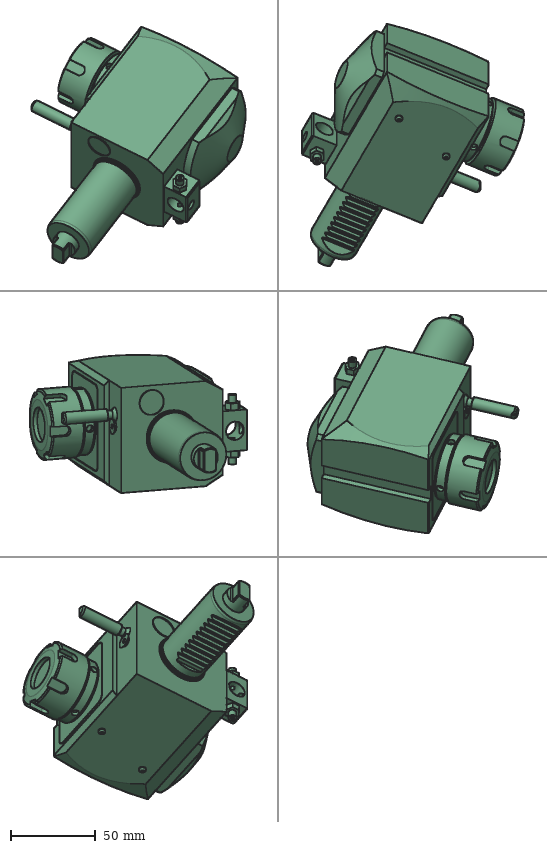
import cadquery as cq
import math

BODY_HALF = 32.0
BODY_LENGTH = 84.0
RIGHT_BEVEL_X = 10.9
RIGHT_BEVEL_Z = 6.2
PAD_HEIGHT = 3.2
PAD_BEVEL = 3.0
PAD_START_Y = 21.0
PAD_EDGE_CHAMFER = 0.6
PAD_FACE_X = -BODY_HALF - PAD_HEIGHT
KEYWAY_WIDTH = 10.0
KEYWAY_DEPTH = 3.8

CROWN_X = -10.0
CROWN_REAR_Z = 31.1
CROWN_RADIUS = 166.1
CROWN_ANGLE = 15.0

COVER_WIDTH = 45.3
COVER_HEIGHT = 52.8
COVER_CORNER = 4.5
SEAM_WIDTH = 0.3
SEAM_DEPTH = 0.2
PLUG_X = -12.7
PLUG_Z = 21.6
PLUG_RADIUS = 7.5
PLUG_DEPTH = 0.6

SHANK_RADIUS = 15.0
SHANK_LENGTH = 55.1
SHANK_CHAMFER_LENGTH = 1.8
SHANK_CHAMFER_DEPTH = 0.5
FLANGE_RADIUS = 16.0
FLANGE_LENGTH = 1.4
FLANGE_CHAMFER = 0.5
RELIEF_RADIUS = 14.8
RELIEF_LENGTH = 0.8
JOURNAL_RADIUS = 7.5
JOURNAL_END = 59.6
TANG_THICKNESS = 8.2
TANG_END = 67.0
TANG_CHAMFER = 0.6
TANG_FOOT = 0.8

TOOTH_COUNT = 9
TOOTH_RUN = 36.1
TOOTH_PITCH = TOOTH_RUN / TOOTH_COUNT
TOOTH_ROOT_Z = -10.7
TOOTH_TIP_Z = -12.2
TOOTH_FLANK = 1.2
FIRST_ROOT_Y = -11.6
TOOTH_RELIEF_Y = -7.4
ROOT_HALF = 0.5
RUNOUT_LENGTH = 3.6

SPINDLE_Y = 55.0
NUT_FACE_X = -63.9
NUT_FACE_RADIUS = 15.1
NUT_RIM_X = -62.8
NUT_RIM_RADIUS = 20.0
NUT_SIDE_X = -62.0
NUT_REAR_X = -43.5
NUT_RADIUS = 21.1
NUT_BORE_RADIUS = 10.3
NUT_BORE_DEPTH = 2.5
NECK_RADIUS = 16.9
COLLAR_FRONT_X = -42.5
COLLAR_REAR_X = -36.2
COLLAR_RADIUS = 20.1
COLLAR_CHAMFER = 0.5
COLLAR_SEAT_RADIUS = 19.3
SLOT_WIDTH = 6.2
SHORT_SLOT_END_X = -51.6
LONG_SLOT_END_X = -50.3
SHORT_SLOT_ANGLES = (90, 150, 210, 270)
LONG_SLOT_ANGLES = (30, 330)
SLOT_FLOOR_RADIUS = 18.0
PIN_HOLE_COUNT = 4
PIN_HOLE_X = -39.1
PIN_HOLE_RADIUS = 2.1
PIN_HOLE_DEPTH = 3.0

NOZZLE_Y = 10.9
NOZZLE_Z = 13.6
NOZZLE_TIP_X = -65.0
NOZZLE_TIP_RADIUS = 2.7
NOZZLE_SHOULDER_X = -63.9
NOZZLE_RADIUS = 3.6
NOZZLE_REAR_X = -37.5
NOZZLE_NECK_RADIUS = 2.5
NOZZLE_FLARE_X = -34.1
NOZZLE_FLARE_RADIUS = 4.1
NOZZLE_CUT_X = -62.5
JET_OFFSET_Y = 2.0
JET_RADIUS = 0.6
JET_DEPTH = 3.0
SCREW_Z = 6.3
SCREW_RADIUS = 4.7
SCREW_HEIGHT = 1.8
SCREW_SOCKET_SIZE = 2.9
SCREW_SOCKET_DEPTH = 0.9

CAP_END_X = 48.0
CAP_RIM_X = 36.8
CAP_RADIUS = 32.2
CAP_NOSE_RADIUS = 8.6
CAP_FLAT_Z = 23.1
CAP_FLAT_Y = 24.9
CAP_BEVEL_X = 38.4
CAP_BEVEL_ANGLE = 28.0

BLOCK_Y_MIN = 1.0
BLOCK_Y_MAX = 16.0
BLOCK_HALF_Z = 12.4
BLOCK_CHAMFER = 0.8
PORT_X = 40.0
PORT_RADIUS = 5.6
CROSS_Y = 5.9
CROSS_RADIUS = 3.0
NIPPLE_HEX = 9.0
NIPPLE_HEX_TOP = 16.5
NIPPLE_RADIUS = 2.4
NIPPLE_TOP = 21.0
NIPPLE_SOCKET = 2.4
NIPPLE_SOCKET_DEPTH = 1.2
NIPPLE_BORE_RADIUS = 1.4

STUD_PLACES = [(-23.9, 49.2), (13.0, 61.2)]
STUD_RADIUS = 2.1
STUD_SHOULDER = 0.6
STUD_TIP_RADIUS = 0.8
STUD_HEIGHT = 1.5

OVERLAP = 1.5
CUT_REACH = 90.6


def turned_x(profile, y, z):
    """Solid of revolution about the X-parallel line at (y, z); profile is (x, radius)."""
    points = [(profile[0][0], 0), *profile, (profile[-1][0], 0)]
    solid = cq.Workplane("XY").polyline(points).close().revolve(360, (0, 0), (1, 0))
    return solid.translate((0, y, z))


def turned_y(profile):
    """Solid of revolution about the Y axis; profile is (y, radius)."""
    points = [(0, profile[0][0]), *[(r, y) for y, r in profile], (0, profile[-1][0])]
    return cq.Workplane("XY").polyline(points).close().revolve(360, (0, 0), (0, 1))


def mirrored_z(half):
    return half.union(half.mirror("XY"))


def box(x_min, x_max, y_min, y_max, z_min, z_max):
    solid = cq.Workplane("XY").box(x_max - x_min, y_max - y_min, z_max - z_min, centered=False)
    return solid.translate((x_min, y_min, z_min))


def rear_crown():
    """Cone about a Y-parallel axis that trims the top of the housing."""
    front_radius = CROWN_RADIUS + BODY_LENGTH * math.tan(math.radians(CROWN_ANGLE))
    axis_point = cq.Vector(CROWN_X, 0, CROWN_REAR_Z - CROWN_RADIUS)
    cone = cq.Solid.makeCone(front_radius, CROWN_RADIUS, BODY_LENGTH, axis_point, cq.Vector(0, 1, 0))
    return cq.Workplane(obj=cone)


def housing():
    bevel_start_x = BODY_HALF - RIGHT_BEVEL_X
    bevel_end_z = BODY_HALF - RIGHT_BEVEL_Z
    body_outline = [
        (-BODY_HALF, -BODY_HALF),
        (bevel_start_x, -BODY_HALF),
        (BODY_HALF, -bevel_end_z),
        (BODY_HALF, bevel_end_z),
        (bevel_start_x, BODY_HALF),
        (-BODY_HALF, BODY_HALF),
    ]
    body = cq.Workplane("XZ").polyline(body_outline).close().extrude(-BODY_LENGTH)

    pad_half = BODY_HALF - PAD_BEVEL
    pad_outline = [
        (-BODY_HALF, -BODY_HALF),
        (-BODY_HALF, BODY_HALF),
        (PAD_FACE_X, pad_half),
        (PAD_FACE_X, -pad_half),
    ]
    pad = cq.Workplane("XZ", origin=(0, PAD_START_Y, 0)).polyline(pad_outline).close()
    pad = pad.extrude(PAD_START_Y - BODY_LENGTH)
    pad = pad.faces("<X").edges(">Y").chamfer(PAD_EDGE_CHAMFER)

    block = body.union(pad)
    crown = rear_crown()
    block = block.intersect(crown).intersect(crown.mirror("XY"))
    keyway = box(
        -CUT_REACH, CUT_REACH,
        BODY_LENGTH - KEYWAY_DEPTH, BODY_LENGTH + OVERLAP,
        -KEYWAY_WIDTH / 2, KEYWAY_WIDTH / 2,
    )
    return block.cut(keyway)


def cover_outline(inset):
    outline = cq.Workplane("YZ", origin=(PAD_FACE_X, SPINDLE_Y, 0))
    outline = outline.rect(COVER_WIDTH - 2 * inset, COVER_HEIGHT - 2 * inset).extrude(SEAM_DEPTH)
    return outline.edges("|X").fillet(COVER_CORNER - inset)


def cover_seam():
    return cover_outline(0).cut(cover_outline(SEAM_WIDTH))


def plug_recess():
    return cq.Workplane("XZ").center(PLUG_X, PLUG_Z).circle(PLUG_RADIUS).extrude(-PLUG_DEPTH)


def shank_teeth():
    """Material removed from the underside of the shank, as a prism along X."""
    points = [(TOOTH_RELIEF_Y, -CUT_REACH), (TOOTH_RELIEF_Y, TOOTH_TIP_Z)]
    for index in range(TOOTH_COUNT + 1):
        root_y = FIRST_ROOT_Y - index * TOOTH_PITCH
        points.append((root_y + ROOT_HALF + TOOTH_FLANK, TOOTH_TIP_Z))
        points.append((root_y + ROOT_HALF, TOOTH_ROOT_Z))
        points.append((root_y - ROOT_HALF, TOOTH_ROOT_Z))
        if index < TOOTH_COUNT:
            points.append((root_y - ROOT_HALF - TOOTH_FLANK, TOOTH_TIP_Z))
    runout_y = points[-1][0] - RUNOUT_LENGTH
    points.append((runout_y, -SHANK_RADIUS))
    points.append((runout_y, -CUT_REACH))
    return cq.Workplane("YZ").polyline(points).close().extrude(SHANK_RADIUS * 2, both=True)


def drive_tang():
    """Two-flat tang on the shank end, with sloping feet where the flats meet the journal."""
    round_bar = cq.Workplane("XZ").circle(JOURNAL_RADIUS).extrude(TANG_END)
    half_thickness = TANG_THICKNESS / 2
    slab = box(
        -half_thickness, half_thickness,
        -TANG_END, -JOURNAL_END,
        -JOURNAL_RADIUS, JOURNAL_RADIUS,
    )
    tang = round_bar.intersect(slab)
    tang = tang.faces("<X or >X or <Y").edges("not >Y").chamfer(TANG_CHAMFER)

    foot_end = -JOURNAL_END - TANG_FOOT
    foot = cq.Workplane("XY").polyline([
        (-half_thickness - TANG_FOOT, -JOURNAL_END),
        (-half_thickness, foot_end),
        (half_thickness, foot_end),
        (half_thickness + TANG_FOOT, -JOURNAL_END),
    ]).close().extrude(JOURNAL_RADIUS, both=True)
    return tang.union(foot.intersect(round_bar))


def shank():
    relief_end = FLANGE_LENGTH + RELIEF_LENGTH
    stem = turned_y([
        (OVERLAP, FLANGE_RADIUS),
        (FLANGE_CHAMFER - FLANGE_LENGTH, FLANGE_RADIUS),
        (-FLANGE_LENGTH, FLANGE_RADIUS - FLANGE_CHAMFER),
        (-FLANGE_LENGTH, RELIEF_RADIUS),
        (-relief_end, RELIEF_RADIUS),
        (-relief_end, SHANK_RADIUS),
        (SHANK_CHAMFER_LENGTH - SHANK_LENGTH, SHANK_RADIUS),
        (-SHANK_LENGTH, SHANK_RADIUS - SHANK_CHAMFER_DEPTH),
        (-SHANK_LENGTH, JOURNAL_RADIUS),
        (-JOURNAL_END, JOURNAL_RADIUS),
    ])
    return stem.cut(shank_teeth()).union(drive_tang())


def nut_slot(end_x):
    """One open-ended wrench slot with a round end at end_x, on the top of the nut."""
    half_width = SLOT_WIDTH / 2
    open_end_x = NUT_FACE_X - OVERLAP
    slot = cq.Workplane("XY", origin=(0, SPINDLE_Y, SLOT_FLOOR_RADIUS)).moveTo(open_end_x, -half_width)
    slot = slot.lineTo(end_x - half_width, -half_width)
    slot = slot.threePointArc((end_x, 0), (end_x - half_width, half_width))
    return slot.lineTo(open_end_x, half_width).close().extrude(NUT_RADIUS)


def pin_hole():
    """One radial pin hole, on the top of the collar."""
    hole = cq.Workplane("XY", origin=(PIN_HOLE_X, SPINDLE_Y, COLLAR_RADIUS - PIN_HOLE_DEPTH))
    return hole.circle(PIN_HOLE_RADIUS).extrude(PIN_HOLE_DEPTH + OVERLAP)


def turn_about_spindle(solid, angle):
    return solid.rotate((0, SPINDLE_Y, 0), (1, SPINDLE_Y, 0), angle)


def spindle():
    bore_floor_x = NUT_FACE_X + NUT_BORE_DEPTH
    nose = turned_x([
        (NUT_FACE_X, NUT_FACE_RADIUS),
        (NUT_RIM_X, NUT_RIM_RADIUS),
        (NUT_SIDE_X, NUT_RADIUS),
        (NUT_REAR_X, NUT_RADIUS),
        (NUT_REAR_X, NECK_RADIUS),
        (COLLAR_FRONT_X, NECK_RADIUS),
        (COLLAR_FRONT_X, COLLAR_RADIUS - COLLAR_CHAMFER),
        (COLLAR_FRONT_X + COLLAR_CHAMFER, COLLAR_RADIUS),
        (COLLAR_REAR_X, COLLAR_RADIUS),
        (COLLAR_REAR_X, COLLAR_SEAT_RADIUS),
        (PAD_FACE_X + OVERLAP, COLLAR_SEAT_RADIUS),
    ], SPINDLE_Y, 0)
    bore = turned_x([(NUT_FACE_X, NUT_BORE_RADIUS), (bore_floor_x, NUT_BORE_RADIUS)], SPINDLE_Y, 0)
    nose = nose.cut(bore)
    for angle in SHORT_SLOT_ANGLES:
        nose = nose.cut(turn_about_spindle(nut_slot(SHORT_SLOT_END_X), angle))
    for angle in LONG_SLOT_ANGLES:
        nose = nose.cut(turn_about_spindle(nut_slot(LONG_SLOT_END_X), angle))
    for index in range(PIN_HOLE_COUNT):
        nose = nose.cut(turn_about_spindle(pin_hole(), index * 360 / PIN_HOLE_COUNT))
    return nose


def nozzle():
    rod = turned_x([
        (NOZZLE_TIP_X, NOZZLE_TIP_RADIUS),
        (NOZZLE_SHOULDER_X, NOZZLE_RADIUS),
        (NOZZLE_REAR_X, NOZZLE_RADIUS),
        (NOZZLE_REAR_X, NOZZLE_NECK_RADIUS),
        (NOZZLE_FLARE_X, NOZZLE_NECK_RADIUS),
        (-BODY_HALF, NOZZLE_FLARE_RADIUS),
        (-BODY_HALF + OVERLAP, NOZZLE_FLARE_RADIUS),
    ], NOZZLE_Y, NOZZLE_Z)
    side_y = NOZZLE_Y + NOZZLE_RADIUS
    cut_size = 2 * NOZZLE_RADIUS
    wedge = cq.Workplane("XY").polyline([
        (NOZZLE_CUT_X, side_y),
        (NOZZLE_CUT_X - cut_size, side_y),
        (NOZZLE_CUT_X - cut_size, side_y - cut_size),
    ]).close().extrude(CUT_REACH)
    jet = cq.Workplane("YZ", origin=(NOZZLE_TIP_X, NOZZLE_Y + JET_OFFSET_Y, NOZZLE_Z))
    return rod.cut(wedge).cut(jet.circle(JET_RADIUS).extrude(JET_DEPTH))


def countersunk_screw():
    head_x = -BODY_HALF - SCREW_HEIGHT
    head = turned_x([
        (head_x, SCREW_RADIUS),
        (-BODY_HALF, SCREW_RADIUS - SCREW_HEIGHT),
        (-BODY_HALF + OVERLAP, SCREW_RADIUS - SCREW_HEIGHT),
    ], NOZZLE_Y, SCREW_Z)
    socket = cq.Workplane("YZ", origin=(head_x, NOZZLE_Y, SCREW_Z))
    return head.cut(socket.polygon(6, SCREW_SOCKET_SIZE).extrude(SCREW_SOCKET_DEPTH))


def end_cap():
    cap = turned_x([
        (BODY_HALF - OVERLAP, CAP_RADIUS),
        (CAP_RIM_X, CAP_RADIUS),
        (CAP_END_X, CAP_NOSE_RADIUS),
    ], SPINDLE_Y, 0)
    bevel_drop = (CAP_END_X - CAP_BEVEL_X) * math.tan(math.radians(CAP_BEVEL_ANGLE))
    end_z = CAP_FLAT_Z - bevel_drop
    inner_x = BODY_HALF - OVERLAP
    side_outline = [
        (inner_x, -CAP_FLAT_Z),
        (CAP_BEVEL_X, -CAP_FLAT_Z),
        (CAP_END_X, -end_z),
        (CAP_END_X, end_z),
        (CAP_BEVEL_X, CAP_FLAT_Z),
        (inner_x, CAP_FLAT_Z),
    ]
    envelope = cq.Workplane("XZ", origin=(0, SPINDLE_Y + CAP_FLAT_Y, 0)).polyline(side_outline).close()
    return cap.intersect(envelope.extrude(CUT_REACH))


def nipple():
    """Hexagon fitting with a round stem on top of the coolant block."""
    axis_plane = cq.Workplane("XY", origin=(PORT_X, CROSS_Y, BLOCK_HALF_Z - OVERLAP))
    hexagon = axis_plane.polygon(6, NIPPLE_HEX).extrude(NIPPLE_HEX_TOP - BLOCK_HALF_Z + OVERLAP)
    stem = axis_plane.circle(NIPPLE_RADIUS).extrude(NIPPLE_TOP - BLOCK_HALF_Z + OVERLAP)
    socket = cq.Workplane("XY", origin=(PORT_X, CROSS_Y, NIPPLE_TOP - NIPPLE_SOCKET_DEPTH))
    return hexagon.union(stem).cut(socket.polygon(6, NIPPLE_SOCKET).extrude(NIPPLE_SOCKET_DEPTH))


def coolant_block():
    block = box(
        BODY_HALF, CAP_END_X,
        BLOCK_Y_MIN, BLOCK_Y_MAX,
        -BLOCK_HALF_Z, BLOCK_HALF_Z,
    )
    block = block.faces(">X").edges().chamfer(BLOCK_CHAMFER)
    block = block.union(box(
        BODY_HALF - OVERLAP, BODY_HALF,
        BLOCK_Y_MIN, BLOCK_Y_MAX,
        -BLOCK_HALF_Z, BLOCK_HALF_Z,
    ))
    block = block.union(mirrored_z(nipple()))
    port = cq.Workplane("XZ").center(PORT_X, 0).circle(PORT_RADIUS).extrude(-BLOCK_Y_MAX)
    outlet = cq.Workplane("YZ", origin=(PORT_X, CROSS_Y, 0)).circle(CROSS_RADIUS).extrude(CAP_END_X - PORT_X)
    nipple_bore = cq.Workplane("XY", origin=(PORT_X, CROSS_Y, 0)).circle(NIPPLE_BORE_RADIUS)
    return block.cut(port).cut(outlet).cut(nipple_bore.extrude(BLOCK_HALF_Z, both=True))


def stud(x, y):
    """Tapered screw stud hanging under the housing."""
    outline = [
        (0, OVERLAP),
        (STUD_RADIUS, OVERLAP),
        (STUD_RADIUS, -STUD_SHOULDER),
        (STUD_TIP_RADIUS, -STUD_HEIGHT),
        (0, -STUD_HEIGHT),
    ]
    solid = cq.Workplane("XZ").polyline(outline).close().revolve(360, (0, 0), (0, 1))
    return solid.translate((x, y, -BODY_HALF))


result = housing().cut(cover_seam()).cut(plug_recess())
for piece in [shank(), spindle(), nozzle(), countersunk_screw(), end_cap(), coolant_block()]:
    result = result.union(piece)
for stud_x, stud_y in STUD_PLACES:
    result = result.union(stud(stud_x, stud_y))